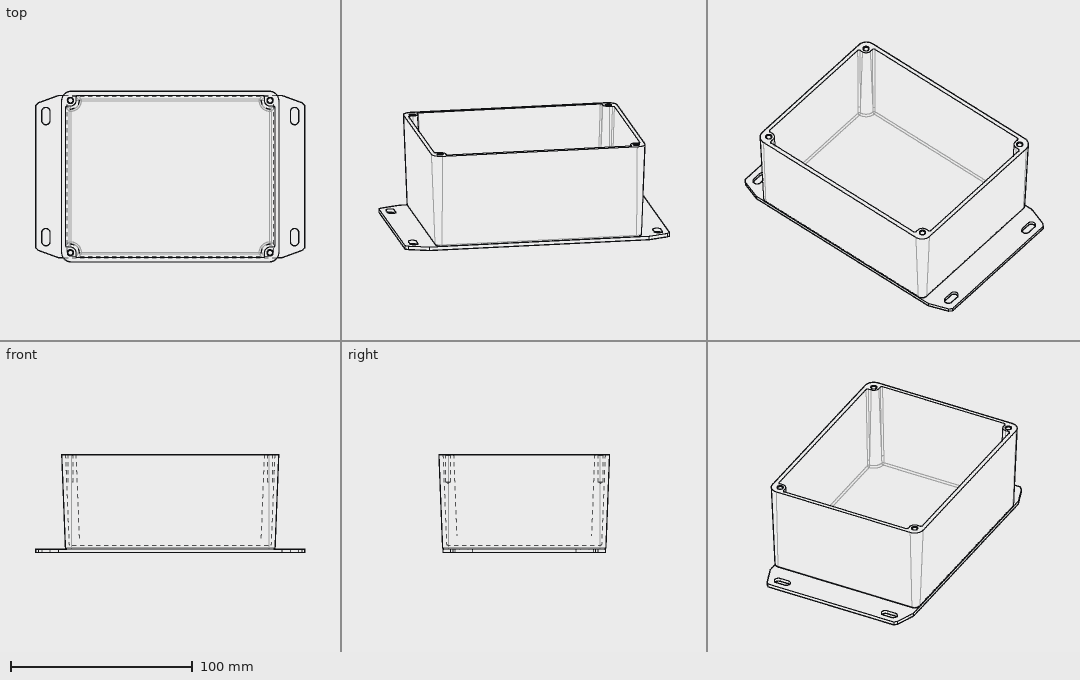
import cadquery as cq
import math

total_height = 54.0
rim_length = 119.5
rim_width = 94.0
draft_angle = 2.25

outer_corner_radius = 5.3
base_edge_radius = 1.0

end_wall = 2.2
side_wall = 2.4
floor_height = 4.0
post_edge_radius = 0.9
floor_edge_radius = 1.0

screw_spacing_x = 109.8
screw_spacing_y = 83.8
post_radius = 3.1
screw_hole_diameter = 2.7
screw_hole_chamfer = 0.4
screw_hole_depth = 15.0
drill_point_angle = 118.0

plate_length = 148.13
plate_width = 89.4
plate_thickness = 2.0
plate_full_width_length = 122.8
plate_taper_angle = 20.0
plate_chamfer_along_x = 1.6
plate_chamfer_along_y = 1.5

slot_spacing_x = 136.8
slot_spacing_y = 66.6
slot_length = 9.4
slot_width = 4.5


def make_plate():
    """Flat plate with narrowed, chamfered ends and a slot near each corner."""
    end_x = plate_length / 2
    shoulder_x = plate_full_width_length / 2
    shoulder_y = plate_width / 2
    chamfer_x = end_x - plate_chamfer_along_x
    chamfer_y = shoulder_y - (chamfer_x - shoulder_x) * math.tan(math.radians(plate_taper_angle))
    end_y = chamfer_y - plate_chamfer_along_y
    quarter_outline = [
        (end_x, 0),
        (end_x, end_y),
        (chamfer_x, chamfer_y),
        (shoulder_x, shoulder_y),
        (0, shoulder_y),
    ]
    plate = (
        cq.Workplane("XY")
        .polyline(quarter_outline)
        .mirrorX()
        .mirrorY()
        .extrude(plate_thickness)
    )
    slots = (
        cq.Workplane("XY")
        .rarray(slot_spacing_x, slot_spacing_y, 2, 2)
        .slot2D(slot_length, slot_width, 90)
        .extrude(plate_thickness)
    )
    return plate.cut(slots)


def make_outer_body():
    """Solid block that narrows from the rim down to the plate."""
    rim_outline = cq.Sketch().rect(rim_length, rim_width).vertices().fillet(outer_corner_radius)
    body = (
        cq.Workplane("XY", origin=(0, 0, total_height))
        .placeSketch(rim_outline)
        .extrude(plate_thickness - total_height, taper=draft_angle)
    )
    return body.faces("<Z").edges().fillet(base_edge_radius)


def make_cavity():
    """Drafted interior volume, notched at its corners by the screw posts."""
    wall_x = rim_length / 2 - end_wall
    wall_y = rim_width / 2 - side_wall
    screw_x = screw_spacing_x / 2
    screw_y = screw_spacing_y / 2
    side_x = screw_x - post_radius
    side_y = screw_y - post_radius
    quarter_outline = (
        cq.Workplane("XY", origin=(0, 0, total_height))
        .moveTo(0, wall_y)
        .lineTo(side_x, wall_y)
        .lineTo(side_x, screw_y)
        .radiusArc((screw_x, side_y), -post_radius)
        .lineTo(wall_x, side_y)
        .lineTo(wall_x, 0)
    )
    outline = quarter_outline.mirrorX().mirrorY()
    cavity = outline.extrude(floor_height - total_height, taper=draft_angle)

    mid_height = (total_height + floor_height) / 2
    mid_shift = (total_height - mid_height) * math.tan(math.radians(draft_angle))
    post_edge_middles = [
        (sign_x * (x - mid_shift), sign_y * (y - mid_shift), mid_height)
        for x, y in [(side_x, wall_y), (wall_x, side_y)]
        for sign_x in (-1, 1)
        for sign_y in (-1, 1)
    ]
    post_edges = cq.Workplane()
    for middle in post_edge_middles:
        post_edges = post_edges.add(cavity.edges(cq.selectors.NearestToPointSelector(middle)))
    cavity = cavity.newObject(post_edges.vals()).fillet(post_edge_radius)
    return cavity.faces("<Z").edges().fillet(floor_edge_radius)


def make_screw_holes():
    """Blind drilled holes in the tops of the posts."""
    radius = screw_hole_diameter / 2
    point_depth = radius / math.tan(math.radians(drill_point_angle / 2))
    drill = (
        cq.Workplane("XZ")
        .polyline([
            (0, 0),
            (radius + screw_hole_chamfer, 0),
            (radius, -screw_hole_chamfer),
            (radius, -screw_hole_depth),
            (0, -screw_hole_depth - point_depth),
        ])
        .close()
        .revolve(360, (0, 0, 0), (0, 1, 0))
        .val()
    )
    return (
        cq.Workplane("XY", origin=(0, 0, total_height))
        .rarray(screw_spacing_x, screw_spacing_y, 2, 2)
        .eachpoint(lambda place: drill.moved(place), combine=False)
    )


result = make_outer_body().union(make_plate()).cut(make_cavity()).cut(make_screw_holes())